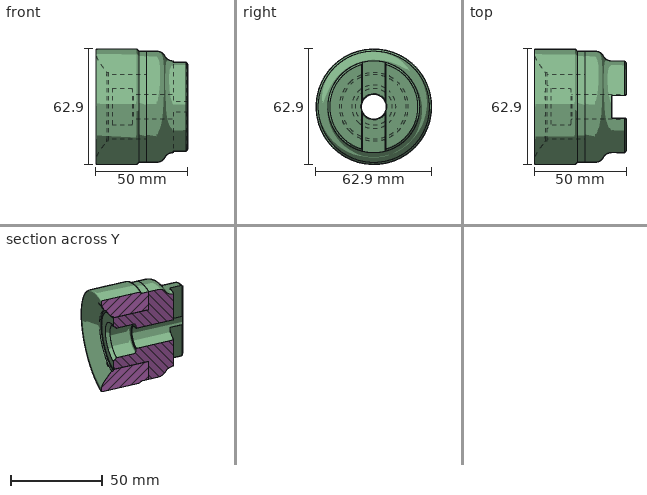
import cadquery as cq
import math

ring_radius = 31.45
total_length = 50.0

ring_face_round = 0.75
ring_back_round_start = 22.1
ring_back_round = 0.4
ring_back_angle = math.radians(45)
lip_end = 27.6
lip_radius = 60.6 / 2
mouth_radius = 28.2
mouth_edge_round = 0.75
cone_mouth_radius = 25.3
cone_mouth_depth = 1.2
cone_edge_round = 1.45
throat_radius = 18.7
throat_depth = 5.85
throat_edge_round = 0.5
seat_radius = 17.55

hub_face_depth = 7.0
neck_radius = 50.0 / 2
shoulder_start = 33.1
shoulder_round = 5.05
shoulder_angle = math.radians(60)
rim_chamfer_length = 0.9
rim_chamfer_height = 1.1

bore_radius = 20.0 / 2
bore_mouth_chamfer = 1.95
bore_floor_depth = 20.0
bore_floor_round = 1.0
through_radius = 13.5 / 2
through_chamfer = 0.45

slot_width = 12.25
slot_floor = 42.15
slot_floor_round = 0.4
slot_mouth_chamfer = 0.55


def revolve_about_x(profile):
    """Turn a closed (X, radius) outline into a solid of revolution."""
    return profile.close().revolve(360, (0, 0, 0), (1, 0, 0))


def round_circle(body, x, radius, fillet_radius):
    """Fillet the circular edge of the given radius that lies around the axis at x."""
    margin = 0.05
    nearby = cq.selectors.BoxSelector(
        (x - margin, -radius - margin, -radius - margin),
        (x + margin, radius + margin, radius + margin),
        boundingbox=True,
    )
    return body.edges(nearby).edges(cq.selectors.RadiusNthSelector(-1)).fillet(fillet_radius)


def make_ring():
    """Outer ring with a stepped conical mouth, a seat for the hub and a thinner rear lip."""
    ring_back = ring_back_round_start + ring_back_round * math.sin(ring_back_angle)
    ring_back_radius = ring_radius - ring_back_round * (1 - math.cos(ring_back_angle))
    lip_root = ring_back + (ring_back_radius - lip_radius) / math.tan(ring_back_angle)
    profile = (
        cq.Workplane("XY")
        .moveTo(0, mouth_radius)
        .lineTo(0, ring_radius - ring_face_round)
        .radiusArc((ring_face_round, ring_radius), ring_face_round)
        .lineTo(ring_back_round_start, ring_radius)
        .radiusArc((ring_back, ring_back_radius), ring_back_round)
        .lineTo(lip_root, lip_radius)
        .lineTo(lip_end, lip_radius)
        .lineTo(lip_end, seat_radius)
        .lineTo(hub_face_depth, seat_radius)
        .lineTo(hub_face_depth, throat_radius)
        .lineTo(throat_depth, throat_radius)
        .lineTo(cone_mouth_depth, cone_mouth_radius)
    )
    ring = revolve_about_x(profile)
    ring = round_circle(ring, 0, mouth_radius, mouth_edge_round)
    ring = round_circle(ring, cone_mouth_depth, cone_mouth_radius, cone_edge_round)
    return round_circle(ring, throat_depth, throat_radius, throat_edge_round)


def make_slot():
    """Cutter for the end slot: rounded floor corners and chamfered mouth edges."""
    half_width = slot_width / 2
    corner = half_width - slot_floor_round
    half_outline = (
        cq.Workplane("XY")
        .moveTo(slot_floor, 0)
        .lineTo(slot_floor, corner)
        .radiusArc((slot_floor + slot_floor_round, half_width), slot_floor_round)
        .lineTo(total_length - slot_mouth_chamfer, half_width)
        .lineTo(total_length, half_width + slot_mouth_chamfer)
        .lineTo(total_length, 0)
        .close()
    )
    half_slot = half_outline.extrude(ring_radius, both=True)
    return half_slot.union(half_slot.mirror("XZ"))


def make_hub():
    """Hub seated in the ring, with an S-shaped shoulder, a stepped bore and an end slot."""
    arc_length = shoulder_round * math.sin(shoulder_angle)
    arc_drop = shoulder_round * (1 - math.cos(shoulder_angle))
    upper_arc_end = (shoulder_start + arc_length, lip_radius - arc_drop)
    slope_drop = lip_radius - neck_radius - 2 * arc_drop
    slope_length = slope_drop / math.tan(shoulder_angle)
    lower_arc_start = (upper_arc_end[0] + slope_length, upper_arc_end[1] - slope_drop)
    shoulder_end = lower_arc_start[0] + arc_length
    profile = (
        cq.Workplane("XY")
        .moveTo(hub_face_depth, bore_radius + bore_mouth_chamfer)
        .lineTo(hub_face_depth, seat_radius)
        .lineTo(lip_end, seat_radius)
        .lineTo(lip_end, lip_radius)
        .lineTo(shoulder_start, lip_radius)
        .radiusArc(upper_arc_end, shoulder_round)
        .lineTo(*lower_arc_start)
        .radiusArc((shoulder_end, neck_radius), -shoulder_round)
        .lineTo(total_length - rim_chamfer_length, neck_radius)
        .lineTo(total_length, neck_radius - rim_chamfer_height)
        .lineTo(total_length, through_radius)
        .lineTo(bore_floor_depth + through_chamfer, through_radius)
        .lineTo(bore_floor_depth, through_radius + through_chamfer)
        .lineTo(bore_floor_depth, bore_radius - bore_floor_round)
        .radiusArc((bore_floor_depth - bore_floor_round, bore_radius), -bore_floor_round)
        .lineTo(hub_face_depth + bore_mouth_chamfer, bore_radius)
    )
    return revolve_about_x(profile).cut(make_slot())


ring = make_ring()
hub = make_hub()
result = cq.Compound.makeCompound([ring.val(), hub.val()])